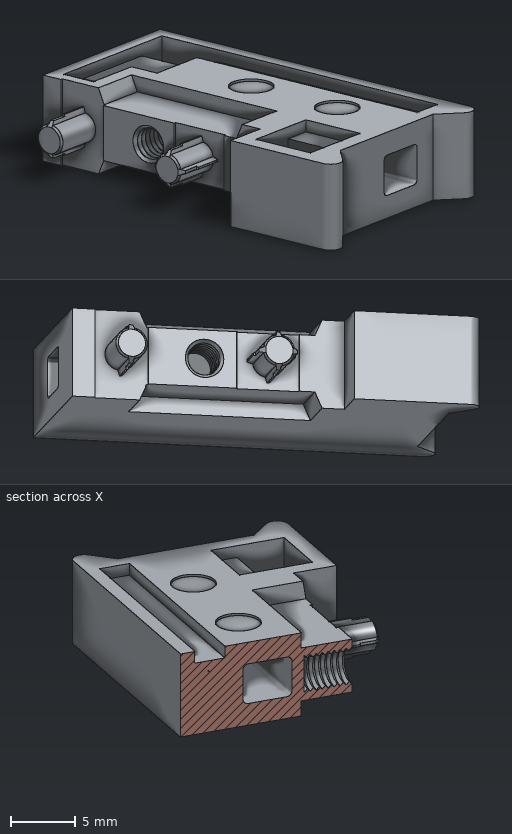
import cadquery as cq
import math

LENGTH = 31.8
DEPTH = 14.65
HEIGHT = 7.05
MID_Z = HEIGHT / 2

END_X = 29.9
FOOT_X = 21.65
FOOT_Y = -3.7
NOSE_RADIUS = 0.95
UPPER_NOSE_ROOT_Y = 11.3
LOWER_NOSE_ROOT_Y = -0.32

SHALLOW_FLOOR = 6.07
DEEP_FLOOR = 4.23

CAVITY_LEFT = 1.18
CAVITY_FRONT = 1.15
CAVITY_BACK = 13.42
ARM_RIGHT = 4.13
WIDE_RIGHT = 6.68
WIDE_FRONT = 5.9
WELL_BACK = 3.6
TRENCH_FRONT = 10.88
TRENCH_RIGHT = 28.62

FOOT_CAVITY_LEFT = 23.02
FOOT_CAVITY_RIGHT = 28.43
FOOT_CAVITY_FRONT = -2.23
FOOT_CAVITY_STEP = 1.78
FOOT_CAVITY_BACK = 4.0

DISC_RADIUS = 1.78
DISC_DEPTH = 0.2
DISC_Y = 7.95
DISC_XS = (14.45, 23.0)

POCKET_DEPTH = 1.27
POCKET_REACH = 4.32
POCKET_LEFT = 5.4
POCKET_RIGHT = 19.88
POCKET_FLARE = 0.57

CHANNEL_Y = 7.22
CHANNEL_WIDTH = 4.13
CHANNEL_HEIGHT = 3.3
CHANNEL_RADIUS = 0.4

SEAT_DEPTH = 0.2
SEATS = ((1.8, 6.05), (13.1, 18.05))
PIN_RADIUS = 1.25
PIN_LENGTH = 4.05
PIN_CHAMFER = 0.15
LEFT_PIN_X = 3.88
RIGHT_PIN_X = 15.6
RIB_BASE_WIDTH = 0.5
RIB_CREST_WIDTH = 0.15
RIB_ROOT = 1.15
RIB_TALL = 1.7
RIB_LOW = 1.53
RIB_STEP = 2.25
RIB_LEAD_IN = 0.38

THREAD_X = 10.53
THREAD_MINOR_RADIUS = 1.27
THREAD_MAJOR_RADIUS = 1.53
THREAD_PITCH = 0.5
THREAD_TURNS = 8


def block(x_range, y_range, z_range):
    """Box between two limits on each axis."""
    sizes = [high - low for low, high in (x_range, y_range, z_range)]
    corner = (x_range[0], y_range[0], z_range[0])
    return cq.Workplane("XY").box(*sizes, centered=False).translate(corner)


def nose_arc(edge_y, root_y):
    """Middle and end of the arc from a nose's straight edge to its tangent slope."""
    inward = math.copysign(1, root_y - edge_y)
    center_x = LENGTH - NOSE_RADIUS
    center_y = edge_y + inward * NOSE_RADIUS
    to_root_x = END_X - center_x
    to_root_y = (root_y - center_y) * inward
    distance = math.hypot(to_root_x, to_root_y)
    end_angle = math.atan2(to_root_y, to_root_x) - math.acos(NOSE_RADIUS / distance)
    middle_angle = (end_angle - math.pi / 2) / 2

    def at(angle):
        x = center_x + NOSE_RADIUS * math.cos(angle)
        y = center_y + inward * NOSE_RADIUS * math.sin(angle)
        return x, y

    return at(middle_angle), at(end_angle)


def make_body():
    upper_middle, upper_end = nose_arc(DEPTH, UPPER_NOSE_ROOT_Y)
    lower_middle, lower_end = nose_arc(FOOT_Y, LOWER_NOSE_ROOT_Y)
    nose_start_x = LENGTH - NOSE_RADIUS
    return (
        cq.Workplane("XY")
        .moveTo(0, 0)
        .lineTo(0, DEPTH)
        .lineTo(nose_start_x, DEPTH)
        .threePointArc(upper_middle, upper_end)
        .lineTo(END_X, UPPER_NOSE_ROOT_Y)
        .lineTo(END_X, LOWER_NOSE_ROOT_Y)
        .lineTo(*lower_end)
        .threePointArc(lower_middle, (nose_start_x, FOOT_Y))
        .lineTo(FOOT_X, FOOT_Y)
        .lineTo(FOOT_X, 0)
        .close()
        .extrude(HEIGHT)
    )


def make_top_cavities():
    shallow = (SHALLOW_FLOOR, HEIGHT)
    deep = (DEEP_FLOOR, HEIGHT)
    arm = (CAVITY_LEFT, ARM_RIGHT)
    wide = (CAVITY_LEFT, WIDE_RIGHT)
    foot = (FOOT_CAVITY_LEFT, FOOT_CAVITY_RIGHT)
    return (
        block(arm, (CAVITY_FRONT, CAVITY_BACK), shallow)
        .union(block(wide, (WIDE_FRONT, CAVITY_BACK), shallow))
        .union(block((CAVITY_LEFT, TRENCH_RIGHT), (TRENCH_FRONT, CAVITY_BACK), shallow))
        .union(block(arm, (CAVITY_FRONT, WELL_BACK), deep))
        .union(block(wide, (TRENCH_FRONT, CAVITY_BACK), deep))
        .union(block(foot, (FOOT_CAVITY_FRONT, FOOT_CAVITY_BACK), shallow))
        .union(block(foot, (FOOT_CAVITY_FRONT, FOOT_CAVITY_STEP), deep))
    )


def make_discs():
    return (
        cq.Workplane("XY", origin=(0, 0, HEIGHT - DISC_DEPTH))
        .pushPoints([(x, DISC_Y) for x in DISC_XS])
        .circle(DISC_RADIUS)
        .extrude(DISC_DEPTH)
    )


def make_front_pockets():
    top_pocket = (
        cq.Workplane("XZ")
        .moveTo(POCKET_LEFT, HEIGHT)
        .lineTo(POCKET_LEFT + POCKET_FLARE, HEIGHT - POCKET_DEPTH)
        .lineTo(POCKET_RIGHT - POCKET_FLARE, HEIGHT - POCKET_DEPTH)
        .lineTo(POCKET_RIGHT, HEIGHT)
        .close()
        .extrude(-POCKET_REACH)
    )
    return top_pocket.union(top_pocket.mirror("XY", (0, 0, MID_Z)))


def make_channel():
    return (
        cq.Workplane("YZ")
        .center(CHANNEL_Y, MID_Z)
        .rect(CHANNEL_WIDTH, CHANNEL_HEIGHT)
        .extrude(LENGTH)
        .edges("|X")
        .fillet(CHANNEL_RADIUS)
    )


def make_thread():
    """Hole along Y whose wall is a row of V grooves, one per pitch, as a simplified thread."""
    profile = cq.Workplane("XY").moveTo(0, 0).lineTo(THREAD_MAJOR_RADIUS, 0)
    for turn in range(THREAD_TURNS):
        ridge_y = (turn + 0.5) * THREAD_PITCH
        profile = profile.lineTo(THREAD_MINOR_RADIUS, ridge_y)
        profile = profile.lineTo(THREAD_MAJOR_RADIUS, ridge_y + THREAD_PITCH / 2)
    profile = profile.lineTo(0, THREAD_TURNS * THREAD_PITCH).close()
    hole = profile.revolve(360, (0, 0, 0), (0, 1, 0))
    return hole.translate((THREAD_X, 0, MID_Z))


def make_rib(angle):
    """Tapered rib on a pin, its crest lowered beyond the step and sloped at the tip."""
    start_y = SEAT_DEPTH
    half_base = RIB_BASE_WIDTH / 2
    half_crest = RIB_CREST_WIDTH / 2
    ridge = (
        cq.Workplane("XZ", origin=(0, start_y, 0))
        .moveTo(0, -half_base)
        .lineTo(RIB_ROOT, -half_base)
        .lineTo(RIB_TALL, -half_crest)
        .lineTo(RIB_TALL, half_crest)
        .lineTo(RIB_ROOT, half_base)
        .lineTo(0, half_base)
        .close()
        .extrude(start_y + PIN_LENGTH)
    )
    crest_profile = (
        cq.Workplane("XY")
        .moveTo(0, start_y)
        .lineTo(RIB_TALL, start_y)
        .lineTo(RIB_TALL, -RIB_STEP)
        .lineTo(RIB_LOW, -RIB_STEP)
        .lineTo(RIB_LOW, RIB_LEAD_IN - PIN_LENGTH)
        .lineTo(PIN_RADIUS - PIN_CHAMFER, -PIN_LENGTH)
        .lineTo(0, -PIN_LENGTH)
        .close()
        .extrude(half_base, both=True)
    )
    return ridge.intersect(crest_profile).rotate((0, 0, 0), (0, 1, 0), angle)


def make_pin(x, rib_angles):
    pin = (
        cq.Workplane("XZ", origin=(0, SEAT_DEPTH, 0))
        .circle(PIN_RADIUS)
        .extrude(SEAT_DEPTH + PIN_LENGTH)
        .faces("<Y")
        .chamfer(PIN_CHAMFER)
    )
    for angle in rib_angles:
        pin = pin.union(make_rib(angle))
    return pin.translate((x, 0, MID_Z))


result = (
    make_body()
    .cut(make_top_cavities())
    .cut(make_discs())
    .cut(make_front_pockets())
    .cut(make_channel())
    .cut(make_thread())
)
for seat in SEATS:
    result = result.cut(block(seat, (0, SEAT_DEPTH), (0, HEIGHT)))
result = result.union(make_pin(LEFT_PIN_X, (90, 270)))
result = result.union(make_pin(RIGHT_PIN_X, (0, 90, 180, 270)))